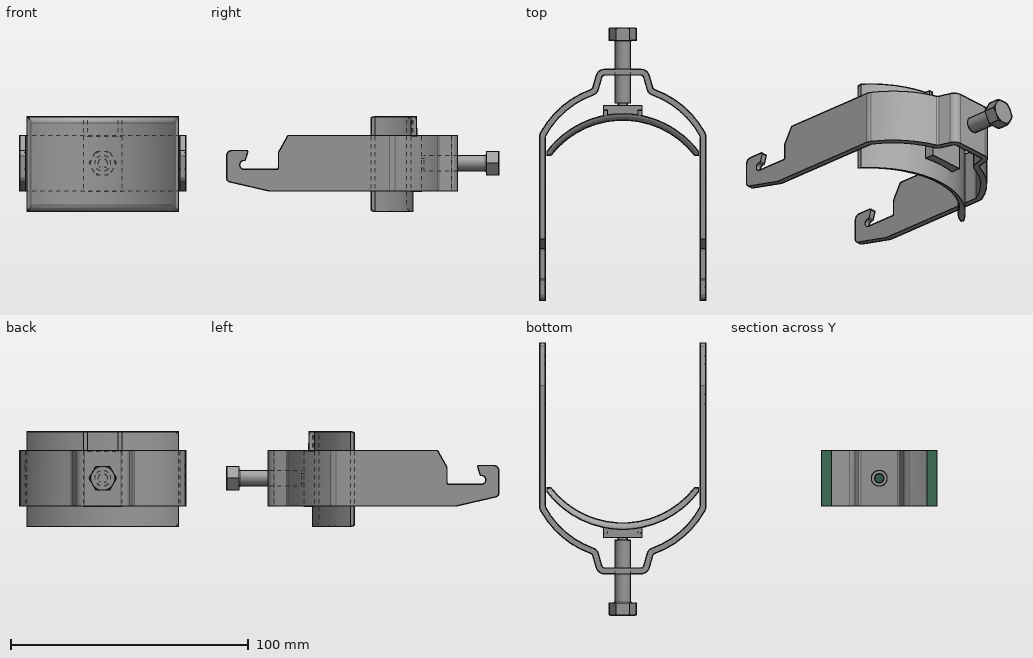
import cadquery as cq
import math


strap_width = 70.0
strap_height = 23.4
sheet = 2.5
shoulder_radius = 39.4
shoulder_center_y = 51.5
shoulder_bend_radius = 4.6
crown_y = 97.1
crown_half_width = 10.4
crown_leg_angle = 16.0
crown_bend_radius = 3.7
neck_bend_radius = 1.1

leg_top_end_y = 25.8
slot_back_y = 21.8
slot_back_top_z = 4.5
slot_floor_z = -2.5
slot_end_radius = 1.8
slot_end_center_y = 7.4
lip_root_y = 7.9
lip_tip_y = 9.2
hook_top_z = 5.4
hook_bottom_z = -7.5
taper_start_y = 17.9
hook_top_radius = 2.3
hook_bottom_radius = 1.7
slot_corner_radius = 0.6

screw_top_y = 114.5
head_height = 5.3
head_flats = 10.0
head_chamfer_drop = 0.3
head_chamfer_inset = 0.7
shank_diameter = 6.6
underhead_radius = 0.6
shank_end_y = 82.9
screw_neck_diameter = 3.9

saddle_width = 63.8
saddle_height = 40.0
saddle_z = -0.3
saddle_outer_radius = 39.8
saddle_outer_center_y = 38.6
saddle_inner_radius = 38.1
saddle_inner_center_y = 37.5
saddle_end_y = 60.8
rim_height = 2.7
rim_depth = 2.5
end_radius = 0.6
boss_width = 16.3
boss_height = 23.1
boss_back_y = 81.9
post_width = 1.7
post_base_y = 80.0
post_tip_y = 79.8


def make_strap():
    half_width = strap_width / 2
    shoulder_y = shoulder_center_y + math.sqrt(shoulder_radius**2 - half_width**2)
    arch_top_y = shoulder_center_y + shoulder_radius
    lean = math.tan(math.radians(crown_leg_angle))

    blank_start_y = -2 * sheet
    arch = (
        cq.Workplane("XY")
        .moveTo(-half_width, blank_start_y)
        .lineTo(-half_width, shoulder_y)
        .threePointArc((0, arch_top_y), (half_width, shoulder_y))
        .lineTo(half_width, blank_start_y)
        .close()
        .extrude(strap_height / 2, both=True)
    )
    crown_foot_half = crown_half_width + lean * (crown_y - shoulder_y)
    crown = (
        cq.Workplane("XY")
        .polyline([
            (-crown_half_width, crown_y),
            (crown_half_width, crown_y),
            (crown_foot_half, shoulder_y),
            (-crown_foot_half, shoulder_y),
        ])
        .close()
        .extrude(strap_height / 2, both=True)
    )
    blank = arch.union(crown)
    blank = blank.faces(">Y").edges("|Z").fillet(crown_bend_radius)
    margin = shoulder_bend_radius / 4
    neck_zone = cq.selectors.BoxSelector(
        (-crown_foot_half, shoulder_y + margin, -strap_height),
        (crown_foot_half, arch_top_y, strap_height),
    )
    blank = blank.edges("|Z").edges(neck_zone).edges("<X or >X").fillet(neck_bend_radius)
    shoulder_zone = cq.selectors.BoxSelector(
        (-strap_width, shoulder_y - margin, -strap_height),
        (strap_width, shoulder_y + margin, strap_height),
    )
    blank = blank.edges("|Z").edges(shoulder_zone).fillet(shoulder_bend_radius)

    inner_wire = blank.faces("<Z").wires().val().offset2D(-sheet)[0]
    inside = cq.Workplane("XY").add(inner_wire).toPending().extrude(strap_height, both=True)
    band = blank.cut(inside)

    strap = band.intersect(make_leg_outline())
    hole = (
        cq.Workplane("XZ", origin=(0, screw_top_y, 0))
        .circle(shank_diameter / 2)
        .extrude(screw_top_y - shank_end_y)
    )
    return strap.cut(hole)


def make_leg_outline():
    """Side outline of the strap, extruded across its full width."""
    half = strap_height / 2
    slot_top_z = slot_floor_z + 2 * slot_end_radius
    outline = (
        cq.Workplane("YZ")
        .moveTo(crown_y, -half)
        .lineTo(crown_y, half)
        .lineTo(leg_top_end_y, half)
        .lineTo(slot_back_y, slot_back_top_z)
        .lineTo(slot_back_y, slot_floor_z)
        .lineTo(slot_end_center_y, slot_floor_z)
        .threePointArc(
            (slot_end_center_y - slot_end_radius, slot_floor_z + slot_end_radius),
            (slot_end_center_y, slot_top_z),
        )
        .lineTo(lip_root_y, slot_top_z)
        .lineTo(lip_tip_y, hook_top_z)
        .lineTo(0, hook_top_z)
        .lineTo(0, hook_bottom_z)
        .lineTo(taper_start_y, -half)
        .close()
        .extrude(strap_width / 2, both=True)
    )
    rounded_corners = [
        (0, hook_top_z, hook_top_radius),
        (0, hook_bottom_z, hook_bottom_radius),
        (slot_back_y, slot_floor_z, slot_corner_radius),
        (lip_root_y, slot_top_z, slot_corner_radius),
        (lip_tip_y, hook_top_z, slot_corner_radius),
    ]
    for y, z, radius in rounded_corners:
        corner = cq.selectors.NearestToPointSelector((0, y, z))
        outline = outline.edges("|X").edges(corner).fillet(radius)
    return outline


def make_screw():
    head_corners = head_flats / math.cos(math.radians(30))
    head_bottom_y = screw_top_y - head_height
    head = (
        cq.Workplane("XZ", origin=(0, screw_top_y, 0))
        .polygon(6, head_corners)
        .extrude(head_height)
    )
    head_envelope = (
        cq.Workplane("XZ", origin=(0, screw_top_y, 0))
        .circle(head_corners / 2)
        .extrude(head_height)
        .faces(">Y").chamfer(head_chamfer_drop, head_chamfer_inset)
    )
    head = head.intersect(head_envelope)
    shank = (
        cq.Workplane("XZ", origin=(0, head_bottom_y, 0))
        .circle(shank_diameter / 2)
        .extrude(head_bottom_y - shank_end_y)
    )
    neck = (
        cq.Workplane("XZ", origin=(0, shank_end_y, 0))
        .circle(screw_neck_diameter / 2)
        .extrude(shank_end_y - boss_back_y)
    )
    screw = head.union(shank)
    underhead = cq.selectors.NearestToPointSelector((0, head_bottom_y, 0))
    screw = screw.edges("%CIRCLE").edges(underhead).fillet(underhead_radius)
    return screw.union(neck)


def make_saddle():
    top = saddle_height / 2
    plate = (
        cq.Workplane("XY")
        .center(0, saddle_outer_center_y)
        .circle(saddle_outer_radius)
        .extrude(top, both=True)
    )
    window_depth = saddle_outer_radius
    window = (
        cq.Workplane("XY")
        .center(0, saddle_end_y + window_depth / 2)
        .rect(saddle_width, window_depth)
        .extrude(top, both=True)
    )
    plate = plate.intersect(window)

    boss_top = boss_height / 2
    boss_depth = boss_back_y - saddle_outer_center_y
    boss = (
        cq.Workplane("XY")
        .box(boss_width, boss_depth, boss_height)
        .translate((0, boss_back_y - boss_depth / 2, 0))
    )
    plate = plate.union(boss)
    for side in (-1, 1):
        post = (
            cq.Workplane("YZ")
            .polyline([
                (saddle_outer_center_y, boss_top),
                (post_base_y, boss_top),
                (post_tip_y, top),
                (saddle_outer_center_y, top),
            ])
            .close()
            .extrude(post_width / 2, both=True)
            .translate((side * (boss_width - post_width) / 2, 0, 0))
        )
        plate = plate.union(post)

    rim_radius = (rim_height**2 + rim_depth**2) / (2 * rim_depth)
    bore = (
        cq.Workplane("XZ")
        .moveTo(0, -top)
        .lineTo(saddle_inner_radius + rim_depth, -top)
        .radiusArc((saddle_inner_radius, -top + rim_height), rim_radius)
        .lineTo(saddle_inner_radius, top - rim_height)
        .radiusArc((saddle_inner_radius + rim_depth, top), rim_radius)
        .lineTo(0, top)
        .close()
        .revolve(360, (0, 0, 0), (0, 1, 0))
        .translate((0, saddle_inner_center_y, 0))
    )
    saddle = plate.cut(bore)

    inner_end_x = math.sqrt(saddle_inner_radius**2 - (saddle_end_y - saddle_inner_center_y) ** 2)
    for side in (-1, 1):
        end_edge = cq.selectors.NearestToPointSelector((side * inner_end_x, saddle_end_y, 0))
        saddle = saddle.edges("|Z").edges(end_edge).fillet(end_radius)
    return saddle.translate((0, 0, saddle_z))


strap = make_strap()
screw = make_screw()
saddle = make_saddle()

result = cq.Compound.makeCompound([
    strap.solids().val(),
    screw.solids().val(),
    saddle.solids().val(),
])